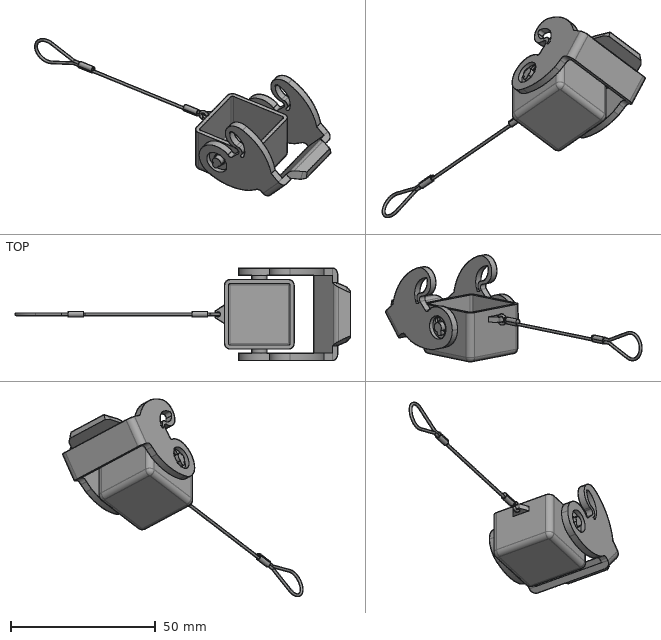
import cadquery as cq
import math



def on_circle(center, radius, degrees):
    """Point on a circle in the XZ plane."""
    angle = math.radians(degrees)
    return (center[0] + radius * math.cos(angle), center[1] + radius * math.sin(angle))


overall_length = 115.9

cover_side = 24.1
cover_height = 17.6
cover_corner_radius = 2.1
cover_bottom_radius = 1.9
wall = 1.4
cavity_corner_radius = 0.7
cavity_floor_radius = 0.6
cover_face = cover_side / 2

lever_width = 32.0
lever_thickness = 2.5
lever_outer_face = lever_width / 2
lever_inner_face = lever_outer_face - lever_thickness
bridge_length = 10.2
bridge_slope = 51
bridge_thickness = 2.4
bridge_edge_radius = 2.3

hinge_height = 11.5
nose_radius = 7.2
recess_radius = 4.0
recess_depth = 1.6
collar_radius = 2.7
pin_radius = 1.7
pin_hole_radius = 2.1
pin_key_width = 2.1
pin_key_reach = 2.9
pin_key_angle = 250
keyway_reach = 3.7
keyway_width = 2.5
keyway_angle = 52

cord_height = 14.3
lug_thickness = 1.9
lug_reach = 3.2
lug_base_width = 6.5
lug_tip_width = 2.3
lug_tip_radius = 0.5
lug_hole_radius = 0.8
lug_hole_x = -(cover_face + 2.2)
cord_radius = 0.5
strand_offset = 0.52
ring_radius = 1.5
ring_x = -(cover_face + 3.2)
sleeve_length = 5.3
sleeve_lobe_radius = 0.98
sleeve_lobe_offset = 0.2
near_sleeve_x = -23.2
far_sleeve_x = -66.0
cord_tail = 0.6
loop_radius = 4.6
loop_x = -79.2
loop_join_x = -68.4

hook_center = (8.5, 26.3)
hook_radius = 5.0
bridge_foot = (18.8, 6.0)
bridge_top = on_circle(bridge_foot, bridge_length, bridge_slope)

tab_bottom = 12.7
tab_thickness = 2.5
tab_end_x = overall_length + loop_x - loop_radius - cord_radius
tab_corner_x = 30.1
tab_root_x = 23.8
tab_bend_radius = 2.3
tab_bottom_halves = (12.2, 9.5, 8.0)
tab_top_halves = (11.1, 8.0, 7.4)


def rod(x_start, x_end, z):
    """Straight piece of cord along X."""
    return cq.Workplane("YZ", origin=(x_start, 0, z)).circle(cord_radius).extrude(x_end - x_start)


def prism(profile, y_start, y_end):
    """Extrude a closed XZ profile from y_start to y_end; the XZ workplane normal is -Y."""
    return profile.extrude(y_start - y_end).translate((0, y_start, 0))


def hinge_circle(radius):
    return cq.Workplane("XZ", origin=(0, 0, hinge_height)).circle(radius)


def key_profile(reach, width, degrees):
    """Round-ended strip from the hinge axis outwards."""
    middle = on_circle((0, hinge_height), (reach - width / 2) / 2, degrees)
    return cq.Workplane("XZ", origin=(middle[0], 0, middle[1])).slot2D(reach + width / 2, width, degrees)


def cover_box():
    box = cq.Workplane("XY").rect(cover_side, cover_side).extrude(cover_height)
    box = box.edges("|Z").fillet(cover_corner_radius).faces("<Z").edges().fillet(cover_bottom_radius)
    cavity_side = cover_side - 2 * wall
    cavity = cq.Workplane("XY", origin=(0, 0, wall)).rect(cavity_side, cavity_side).extrude(cover_height)
    cavity = cavity.edges("|Z").fillet(cavity_corner_radius)
    cavity = cavity.faces("<Z").edges().fillet(cavity_floor_radius)
    return box.cut(cavity)


def hinge_pin(side):
    """Collar that spaces the lever off the cover, a pin, and a bayonet key that holds the lever on it."""
    recess_floor = lever_outer_face - recess_depth
    collar = prism(hinge_circle(collar_radius), cover_face, lever_inner_face)
    pin = prism(hinge_circle(pin_radius), lever_inner_face, lever_outer_face)
    key = prism(key_profile(pin_key_reach, pin_key_width, pin_key_angle), recess_floor, lever_outer_face)
    pin = collar.union(pin).union(key)
    return pin if side > 0 else pin.mirror("XZ")


def cord_lug():
    base = lug_base_width / 2
    tip = lug_tip_width / 2
    outline = [(-cover_face, -base), (-cover_face - lug_reach, -tip),
               (-cover_face - lug_reach, tip), (-cover_face, base)]
    bottom = cord_height - lug_thickness / 2
    lug = cq.Workplane("XY", origin=(0, 0, bottom)).polyline(outline).close().extrude(lug_thickness)
    lug = lug.edges("|Z and <X").fillet(lug_tip_radius)
    hole = cq.Workplane("XY", origin=(lug_hole_x, 0, bottom)).circle(lug_hole_radius).extrude(lug_thickness)
    return lug.cut(hole)


def cord_ring():
    """Small ring through the lug's hole, joined to the lug at the hole's rim."""
    ring = cq.Solid.makeTorus(ring_radius, cord_radius, cq.Vector(ring_x, 0, cord_height), cq.Vector(0, 1, 0))
    return cq.Workplane(obj=ring)


def sleeve(x_start):
    """Crimped sleeve with a two-lobed section."""
    axis = cq.Workplane("YZ", origin=(x_start, 0, cord_height))
    upper = axis.center(0, sleeve_lobe_offset).circle(sleeve_lobe_radius).extrude(sleeve_length)
    lower = axis.center(0, -sleeve_lobe_offset).circle(sleeve_lobe_radius).extrude(sleeve_length)
    return upper.union(lower)


def cord_loop():
    """Teardrop: an arc with a straight tangent leg from each of its ends to the paired strands."""
    run = loop_join_x - loop_x
    distance = math.hypot(run, strand_offset)
    tangent = math.degrees(math.atan2(strand_offset, run) + math.acos(loop_radius / distance))
    center = (loop_x, cord_height)
    upper_join = (loop_join_x, cord_height + strand_offset)
    lower_join = (loop_join_x, cord_height - strand_offset)
    path = (
        cq.Workplane("XZ").moveTo(*upper_join)
        .lineTo(*on_circle(center, loop_radius, tangent))
        .threePointArc(on_circle(center, loop_radius, 180), on_circle(center, loop_radius, -tangent))
        .lineTo(*lower_join)
    )
    start = cq.Vector(upper_join[0], 0, upper_join[1])
    first = on_circle(center, loop_radius, tangent)
    heading = cq.Vector(first[0] - upper_join[0], 0, first[1] - upper_join[1])
    section = cq.Workplane(cq.Plane(start, cq.Vector(0, 1, 0), heading)).circle(cord_radius)
    loop = section.sweep(path)
    for x, z in (upper_join, lower_join):
        loop = loop.union(cq.Workplane("XY").sphere(cord_radius).translate((x, 0, z)))
    return loop


def cord():
    upper = cord_height + strand_offset
    lower = cord_height - strand_offset
    ring_strand_end = ring_x - ring_radius + cord_radius / 2
    pieces = [
        sleeve(near_sleeve_x),
        sleeve(far_sleeve_x),
        rod(loop_join_x, far_sleeve_x + sleeve_length + cord_tail, upper),
        rod(loop_join_x, ring_strand_end, lower),
        rod(near_sleeve_x, ring_strand_end, upper),
        cord_loop(),
    ]
    assembled = cord_ring()
    for piece in pieces:
        assembled = assembled.union(piece)
    return assembled


def make_cover():
    cover = cover_box().union(cord_lug())
    for side in (-1, 1):
        cover = cover.union(hinge_pin(side))
    return cover.union(cord())


def side_outline():
    """Nose round the hinge, hook above it, back sloping down to the bridge, and belly below."""
    nose_center = (0, hinge_height)
    return (
        cq.Workplane("XZ").moveTo(*on_circle(nose_center, nose_radius, 180))
        .threePointArc(on_circle(nose_center, nose_radius, 110), on_circle(nose_center, nose_radius, 50))
        .threePointArc((5.5, 16.3), (6.3, 16.7))
        .lineTo(8.8, 19.3)
        .threePointArc((8.9, 20.6), (7.9, 21.3))
        .lineTo(*on_circle(hook_center, hook_radius, 255))
        .threePointArc(on_circle(hook_center, hook_radius, 160), on_circle(hook_center, hook_radius, 65))
        .threePointArc((17.4, 26.1), (22.2, 16.5))
        .lineTo(*bridge_top)
        .lineTo(*bridge_foot)
        .lineTo(18.1, 6.6)
        .threePointArc((17.1, 6.8), (15.9, 6.3))
        .lineTo(13.2, 4.6)
        .threePointArc((5.6, 3.1), (-2.1, 4.6))
        .threePointArc((-5.7, 7.2), on_circle(nose_center, nose_radius, 180))
        .close()
    )


def hook_slot():
    """Teardrop opening that leaves the hook as a thin spring."""
    return (
        cq.Workplane("XZ").moveTo(5.3, 26.9)
        .threePointArc((5.6, 27.9), (6.5, 28.0))
        .threePointArc((10.4, 25.1), (10.9, 19.1))
        .threePointArc((10.2, 18.4), (9.6, 18.9))
        .threePointArc((10.3, 20.7), (9.2, 22.2))
        .lineTo(8.0, 22.5)
        .threePointArc((6.0, 24.2), (5.3, 26.9))
        .close()
    )


def lever_side():
    """The +Y side plate, with the keyed hinge hole and a round recess in its outer face."""
    plate = prism(side_outline(), lever_inner_face, lever_outer_face)
    slot = prism(hook_slot(), lever_inner_face, lever_outer_face)
    hole = prism(hinge_circle(pin_hole_radius), lever_inner_face, lever_outer_face)
    keyway = prism(key_profile(keyway_reach, keyway_width, keyway_angle), lever_inner_face, lever_outer_face)
    recess = prism(hinge_circle(recess_radius), lever_outer_face - recess_depth, lever_outer_face)
    return plate.cut(slot).cut(hole).cut(keyway).cut(recess)


def bridge_plane():
    """Plane across the bridge at its foot: local x runs outward through its thickness, local y along Y."""
    slope = math.radians(bridge_slope)
    along = cq.Vector(math.cos(slope), 0, math.sin(slope))
    outward = cq.Vector(math.sin(slope), 0, -math.cos(slope))
    return cq.Workplane(cq.Plane(cq.Vector(bridge_foot[0], 0, bridge_foot[1]), outward, along))


def bridge():
    """Sloping plate that joins the two sides, rounded where its outer face meets their flat faces."""
    flat = bridge_thickness - bridge_edge_radius
    outer_half = lever_outer_face - bridge_edge_radius
    section = (
        bridge_plane().moveTo(0, -lever_outer_face)
        .lineTo(flat, -lever_outer_face)
        .tangentArcPoint((bridge_thickness, -outer_half), relative=False)
        .lineTo(bridge_thickness, outer_half)
        .tangentArcPoint((flat, lever_outer_face), relative=False)
        .lineTo(0, lever_outer_face)
        .close()
    )
    return section.extrude(bridge_length)


def tab_layer(workplane, root_half, corner_half, end_half):
    return workplane.polyline([
        (tab_root_x, -root_half), (tab_corner_x, -corner_half), (tab_end_x, -end_half),
        (tab_end_x, end_half), (tab_corner_x, corner_half), (tab_root_x, root_half),
    ]).close()


def finger_tab():
    """Tapered tab with sloping flanks; its root curves up from the bridge's inner face."""
    plan = tab_layer(cq.Workplane("XY", origin=(0, 0, tab_bottom)), *tab_bottom_halves)
    tab = tab_layer(plan.workplane(offset=tab_thickness), *tab_top_halves).loft(ruled=True)
    inside = bridge_plane().center(-lever_width / 2, 0).rect(lever_width, lever_width).extrude(lever_width)
    tab = tab.cut(inside)
    return tab.edges("|Y").edges(">Z").edges("<X").fillet(tab_bend_radius)


def make_lever():
    side = lever_side()
    lever = side.union(side.mirror("XZ")).union(bridge())
    return lever.union(finger_tab())


cover = make_cover()
lever = make_lever()
result = cq.Compound.makeCompound([cover.val(), lever.val()])